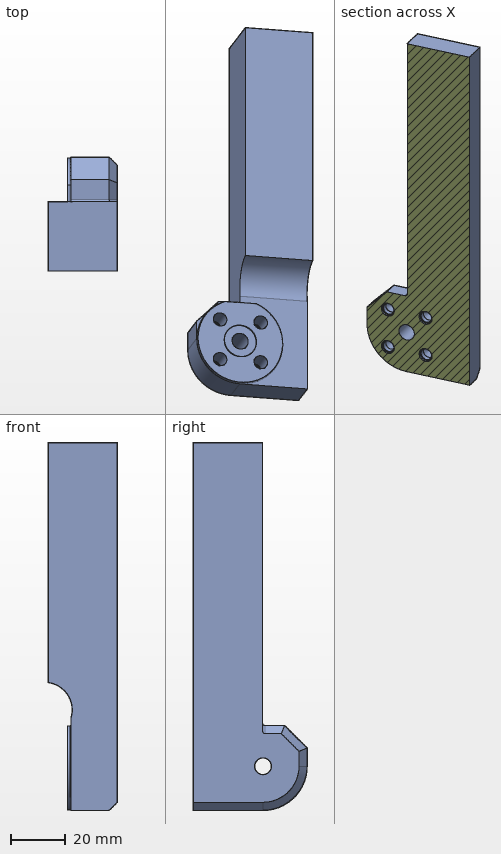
import cadquery as cq
import math


shank_size = 25.27
total_height = 134.06
total_width = 41.55

head_radius = 16.13
head_flat_z = 14.9
head_thickness = 17.0
edge_chamfer = 3.0
corner_fillet = 0.8

groove_radius = 10.0
groove_center_x = -1.25
groove_center_z = 20.55

disc_height = 1.2
disc_radius = 15.875
disc_base_fillet = 0.2

bore_diameter = 6.0
recess_diameter = 12.0
recess_depth = 0.5
bolt_spacing = 15.24
bolt_hole_diameter = 5.0
bolt_pilot_diameter = 4.2
bolt_hole_depth = 10.0
bolt_pilot_depth = 12.0
drill_tip_angle = 118.0

overlap = 1.0

z_bottom = -head_radius
z_top = z_bottom + total_height
y_front = head_radius - total_width
y_side = y_front + shank_size
x_back = shank_size
x_head = x_back - head_thickness
x_disc = x_head - disc_height


def cylinder_x(diameter, x_start, x_end):
    """Cylinder on the pivot axis between two X positions."""
    return cq.Workplane("YZ", origin=(x_start, 0, 0)).circle(diameter / 2).extrude(x_end - x_start)


def make_head():
    """Rounded head with tangent flats and the foot of the shank, chamfered around the back."""
    diagonal_reach = head_radius * math.sqrt(2)
    arc_mid = head_radius / math.sqrt(2)
    head = (
        cq.Workplane("YZ", origin=(x_head, 0, 0))
        .moveTo(y_front, z_bottom)
        .lineTo(0, z_bottom)
        .threePointArc((arc_mid, -arc_mid), (head_radius, 0))
        .lineTo(head_radius, diagonal_reach - head_radius)
        .lineTo(diagonal_reach - head_flat_z, head_flat_z)
        .lineTo(y_front, head_flat_z)
        .close()
        .extrude(head_thickness)
    )
    return head.faces(">X").edges("not(<Y)").chamfer(edge_chamfer)


def make_shank():
    """Square bar above the pivot, stepped back to the head by a round groove."""
    groove_drop = math.sqrt(groove_radius**2 - (x_head - groove_center_x) ** 2)
    step_height = groove_center_z - groove_drop
    bar = cq.Workplane("XY").box(shank_size, shank_size, z_top, centered=False)
    step = cq.Workplane("XY").box(x_head, shank_size, step_height, centered=False)
    groove = (
        cq.Workplane("XZ", origin=(0, shank_size, 0))
        .center(groove_center_x, groove_center_z)
        .circle(groove_radius)
        .extrude(shank_size)
    )
    return bar.cut(step).cut(groove).translate((0, y_front, 0))


def fillet_inner_corner(body):
    """Round the corner where the head flat meets the side of the shank."""
    corner = cq.selectors.BoxSelector(
        (x_head, y_side - overlap / 2, head_flat_z - edge_chamfer),
        (x_back, y_side + overlap / 2, head_flat_z + overlap / 2),
    )
    return body.edges(corner).fillet(corner_fillet)


def make_disc():
    """Raised disc with a flat just below the head flat and a fillet around its base."""
    disc_flat_z = head_flat_z - disc_base_fillet
    above_flat = cq.Workplane("XY", origin=(x_disc, 0, disc_flat_z)).box(
        disc_height, 2 * head_radius, head_radius, centered=(False, True, False)
    )
    disc = cylinder_x(2 * disc_radius, x_disc, x_head).cut(above_flat)
    plate = cylinder_x(3 * head_radius, x_head, x_head + overlap)
    base_outline = cq.selectors.BoxSelector(
        (x_head - disc_height / 2, -head_radius, -head_radius),
        (x_head + overlap / 2, head_radius, head_radius),
        boundingbox=True,
    )
    return disc.union(plate).edges(base_outline).fillet(disc_base_fillet).cut(plate)


def make_bolt_hole():
    """Stepped blind hole with a drilled tip, on the pivot axis."""
    hole_radius = bolt_hole_diameter / 2
    pilot_radius = bolt_pilot_diameter / 2
    tip_length = pilot_radius / math.tan(math.radians(drill_tip_angle / 2))
    return (
        cq.Workplane("XY")
        .moveTo(x_disc, 0)
        .lineTo(x_disc, hole_radius)
        .lineTo(x_disc + bolt_hole_depth, hole_radius)
        .lineTo(x_disc + bolt_hole_depth, pilot_radius)
        .lineTo(x_disc + bolt_pilot_depth, pilot_radius)
        .lineTo(x_disc + bolt_pilot_depth + tip_length, 0)
        .close()
        .revolve(360, (0, 0, 0), (1, 0, 0))
    )


def cut_holes(body):
    """Central bore with a shallow recess, and the square of bolt holes."""
    body = body.cut(cylinder_x(bore_diameter, x_disc - overlap, x_back + overlap))
    body = body.cut(cylinder_x(recess_diameter, x_disc - overlap, x_disc + recess_depth))
    bolt_hole = make_bolt_hole()
    for y_sign in (-1, 1):
        for z_sign in (-1, 1):
            offset = (0, y_sign * bolt_spacing / 2, z_sign * bolt_spacing / 2)
            body = body.cut(bolt_hole.translate(offset))
    return body


arm = fillet_inner_corner(make_head().union(make_shank()))
result = cut_holes(arm.union(make_disc()))